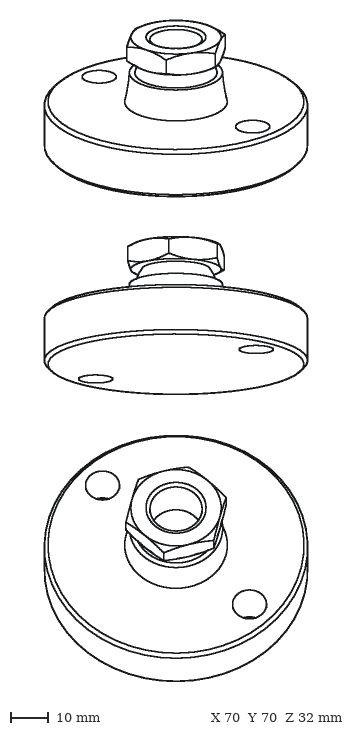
import cadquery as cq
import math

DISC_DIAMETER = 70.0
DISC_HEIGHT = 13.5
DISC_CHAMFER = 1.0
COLLAR_TOP_Z = 21.85
COLLAR_BOTTOM_RADIUS = 13.65
COLLAR_TOP_RADIUS = 12.4
COLLAR_HOLLOW = 0.2

MOUNT_HOLE_DIAMETER = 9.0
MOUNT_HOLE_SPACING = 54.05

BALL_RADIUS = 11.2
BALL_CENTER_Z = 19.4
TOTAL_HEIGHT = 32.0
HEAD_HEIGHT = 6.0
HEAD_ACROSS_FLATS = 24.0
HEAD_CHAMFER_ANGLE = math.radians(30)
HEAD_BOTTOM_Z = TOTAL_HEIGHT - HEAD_HEIGHT

BORE_RADIUS = 6.9
BORE_MOUTH_RADIUS = 8.0
COUNTERSINK_ANGLE = math.radians(120)
BORE_DEPTH = 12.0
DRILL_POINT_ANGLE = math.radians(118)


def make_ball():
    return cq.Workplane("XY").sphere(BALL_RADIUS).translate((0, 0, BALL_CENTER_Z))


def make_collar():
    """Ring-shaped socket wall with a slightly hollow flared side."""
    middle_radius = (COLLAR_BOTTOM_RADIUS + COLLAR_TOP_RADIUS) / 2 - COLLAR_HOLLOW
    middle_z = (DISC_HEIGHT + COLLAR_TOP_Z) / 2
    return (
        cq.Workplane("XZ")
        .moveTo(0, DISC_HEIGHT)
        .lineTo(COLLAR_BOTTOM_RADIUS, DISC_HEIGHT)
        .threePointArc((middle_radius, middle_z), (COLLAR_TOP_RADIUS, COLLAR_TOP_Z))
        .lineTo(0, COLLAR_TOP_Z)
        .close()
        .revolve(360, (0, 0, 0), (0, 1, 0))
    )


def make_base():
    disc = (
        cq.Workplane("XY")
        .circle(DISC_DIAMETER / 2)
        .extrude(DISC_HEIGHT)
        .edges("%CIRCLE")
        .chamfer(DISC_CHAMFER)
    )
    mount_holes = (
        cq.Workplane("XY")
        .rarray(MOUNT_HOLE_SPACING, 0.7, 2, 1)
        .circle(MOUNT_HOLE_DIAMETER / 2)
        .extrude(DISC_HEIGHT)
    )
    return disc.union(make_collar()).cut(mount_holes).cut(make_ball())


def make_head():
    """Hexagonal head whose corners are turned to a cone at both ends."""
    flat_radius = HEAD_ACROSS_FLATS / 2
    corner_radius = flat_radius / math.cos(math.pi / 6)
    chamfer_height = (corner_radius - flat_radius) * math.tan(HEAD_CHAMFER_ANGLE)
    hexagon = (
        cq.Workplane("XY", origin=(0, 0, HEAD_BOTTOM_Z))
        .polygon(6, 2 * corner_radius)
        .extrude(HEAD_HEIGHT)
    )
    turned_envelope = (
        cq.Workplane("XZ")
        .moveTo(0, HEAD_BOTTOM_Z)
        .lineTo(flat_radius, HEAD_BOTTOM_Z)
        .lineTo(corner_radius, HEAD_BOTTOM_Z + chamfer_height)
        .lineTo(corner_radius, TOTAL_HEIGHT - chamfer_height)
        .lineTo(flat_radius, TOTAL_HEIGHT)
        .lineTo(0, TOTAL_HEIGHT)
        .close()
        .revolve(360, (0, 0, 0), (0, 1, 0))
    )
    return hexagon.intersect(turned_envelope)


def make_bore():
    floor_z = TOTAL_HEIGHT - BORE_DEPTH
    point_depth = BORE_RADIUS / math.tan(DRILL_POINT_ANGLE / 2)
    countersink_depth = (BORE_MOUTH_RADIUS - BORE_RADIUS) / math.tan(COUNTERSINK_ANGLE / 2)
    return (
        cq.Workplane("XZ")
        .moveTo(0, floor_z - point_depth)
        .lineTo(BORE_RADIUS, floor_z)
        .lineTo(BORE_RADIUS, TOTAL_HEIGHT - countersink_depth)
        .lineTo(BORE_MOUTH_RADIUS, TOTAL_HEIGHT)
        .lineTo(0, TOTAL_HEIGHT)
        .close()
        .revolve(360, (0, 0, 0), (0, 1, 0))
    )


def make_ball_stud():
    above_ball = (
        cq.Workplane("XY", origin=(0, 0, HEAD_BOTTOM_Z))
        .circle(BALL_RADIUS)
        .extrude(HEAD_HEIGHT)
    )
    return make_ball().cut(above_ball).union(make_head()).cut(make_bore())


base = make_base()
ball_stud = make_ball_stud()

result = cq.Compound.makeCompound([base.solids().val(), ball_stud.solids().val()])